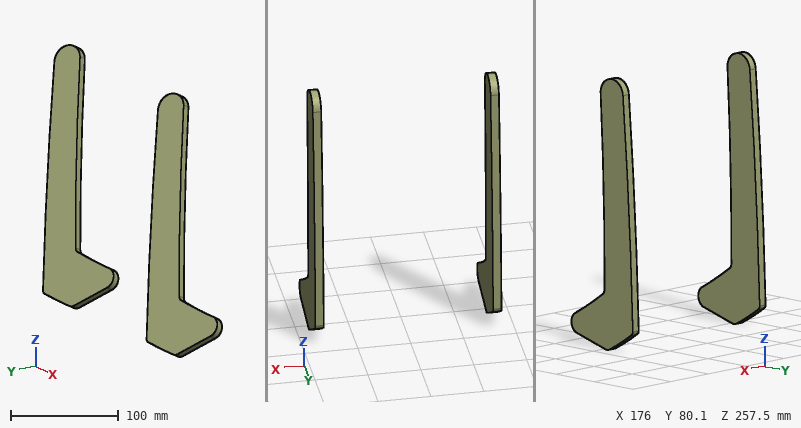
import cadquery as cq
import math

overall_width = 176.0
plate_thickness = 8.0
arm_count = 2
arm_pitch = (overall_width - plate_thickness) / (arm_count - 1)

height = 257.5
top_radius = 14.7
top_center_y = 12.5
top_center_z = height - top_radius
top_back_angle = math.radians(5)
top_front_angle = math.radians(177)

depth = 80.0
toe_radius = 10.3
toe_center_y = -depth / 2 + toe_radius
toe_center_z = 20.3
toe_upper_angle = math.radians(115)
toe_lower_angle = math.radians(254)

back_edge_middle = (34.5, 144.2)
front_edge_middle = (2.0, 146.8)
inner_corner = (3.0, 53.8)
heel_corner = (40.2, 19.8)
bottom_corner = (7.2, -0.5)
foot_upper_middle = (-16.5, 40.5)
foot_rear_middle = (24.7, 9.5)

inner_fillet = 6.2
heel_fillet = 4.5
bottom_fillet = 6.5


def point_on_circle(center_y, center_z, radius, angle):
    """Point in the YZ plane at an angle measured from +Y toward +Z."""
    return (center_y + radius * math.cos(angle), center_z + radius * math.sin(angle))


def top_point(angle):
    return point_on_circle(top_center_y, top_center_z, top_radius, angle)


def toe_point(angle):
    return point_on_circle(toe_center_y, toe_center_z, toe_radius, angle)


def round_corner(plate, corner, radius):
    """Round the through-thickness edge nearest to a corner of the outline."""
    nearest = cq.selectors.NearestToPointSelector((0, *corner))
    return plate.edges("|X").edges(nearest).fillet(radius)


def make_arm(x_center):
    plate = (
        cq.Workplane("YZ")
        .moveTo(*top_point(top_back_angle))
        .threePointArc(top_point(math.pi / 2), top_point(top_front_angle))
        .threePointArc(front_edge_middle, inner_corner)
        .threePointArc(foot_upper_middle, toe_point(toe_upper_angle))
        .threePointArc(toe_point(math.pi), toe_point(toe_lower_angle))
        .lineTo(*bottom_corner)
        .threePointArc(foot_rear_middle, heel_corner)
        .threePointArc(back_edge_middle, top_point(top_back_angle))
        .close()
        .extrude(plate_thickness / 2, both=True)
    )
    plate = round_corner(plate, inner_corner, inner_fillet)
    plate = round_corner(plate, heel_corner, heel_fillet)
    plate = round_corner(plate, bottom_corner, bottom_fillet)
    return plate.translate((x_center, 0, 0))


arms = []
for index in range(arm_count):
    arm_x = (index - (arm_count - 1) / 2) * arm_pitch
    arms.append(make_arm(arm_x).solids().val())

result = cq.Compound.makeCompound(arms)